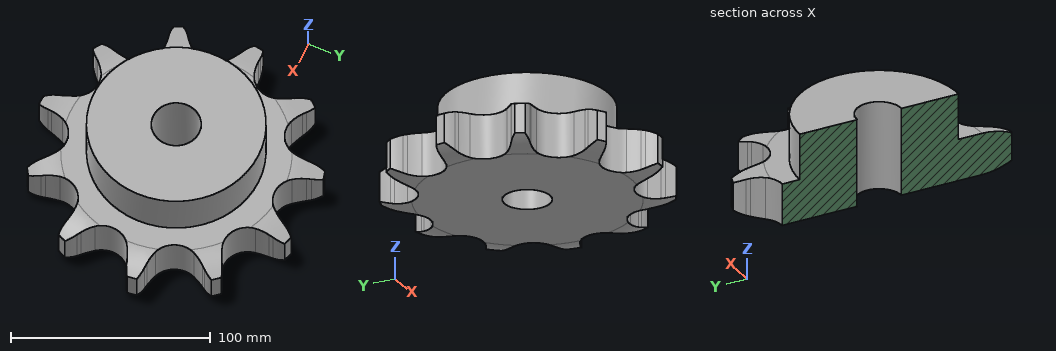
import math

import cadquery as cq

TOOTH_COUNT = 11
CHAIN_PITCH = 38.1
ROLLER_DIAMETER = 25.4
SEAT_CLEARANCE = 0.0762
TIP_RADIUS = 75.0
RIM_WIDTH = 24.0
RELIEF_START_RADIUS = 58.0
RELIEF_ARC_RADIUS = 38.1

HUB_DIAMETER = 90.0
BORE_DIAMETER = 25.0
TOTAL_HEIGHT = 50.0

HALF_TOOTH_ANGLE = 180.0 / TOOTH_COUNT
PITCH_RADIUS = CHAIN_PITCH / (2 * math.sin(math.radians(HALF_TOOTH_ANGLE)))
SEAT_RADIUS = (1.005 * ROLLER_DIAMETER + SEAT_CLEARANCE) / 2
SEAT_END_ANGLE = 35.0 + 60.0 / TOOTH_COUNT
WORKING_ARC_ANGLE = 18.0 - 56.0 / TOOTH_COUNT
WORKING_CENTER_OFFSET = 0.8 * ROLLER_DIAMETER
WORKING_RADIUS = SEAT_RADIUS + WORKING_CENTER_OFFSET
TOPPING_CENTER_OFFSET = 1.4 * ROLLER_DIAMETER

GAP_OUTER_RADIUS = TIP_RADIUS + SEAT_RADIUS


def polar(center, radius, degrees):
    """Point at a radius and angle from a center."""
    angle = math.radians(degrees)
    return (center[0] + radius * math.cos(angle), center[1] + radius * math.sin(angle))


def topping_arc(seat_center, flank_end):
    """Center and radius of the convex tip arc, tangent to the straight flank that starts at flank_end.

    The flank leaves its working arc along the direction square to that arc's end radius.
    """
    center = polar(seat_center, TOPPING_CENTER_OFFSET, -HALF_TOOTH_ANGLE)
    normal_angle = math.radians(WORKING_ARC_ANGLE - SEAT_END_ANGLE)
    offset = (center[0] - flank_end[0], center[1] - flank_end[1])
    radius = offset[0] * math.cos(normal_angle) + offset[1] * math.sin(normal_angle)
    return center, radius


def right_flank():
    """Key points of the flank to the right of a seat lying on the +Y axis, from seat to tip."""
    seat_center = (0.0, PITCH_RADIUS)
    working_center = polar(seat_center, WORKING_CENTER_OFFSET, 180.0 - SEAT_END_ANGLE)
    seat_end = polar(seat_center, SEAT_RADIUS, -SEAT_END_ANGLE)
    working_mid = polar(working_center, WORKING_RADIUS, WORKING_ARC_ANGLE / 2 - SEAT_END_ANGLE)
    working_end_angle = WORKING_ARC_ANGLE - SEAT_END_ANGLE
    working_end = polar(working_center, WORKING_RADIUS, working_end_angle)

    topping_center, topping_radius = topping_arc(seat_center, working_end)
    topping_start_angle = 180.0 + working_end_angle
    topping_start = polar(topping_center, topping_radius, topping_start_angle)

    center_distance = math.hypot(*topping_center)
    to_origin = math.degrees(math.atan2(-topping_center[1], -topping_center[0]))
    cosine = (topping_radius**2 + center_distance**2 - TIP_RADIUS**2) / (
        2 * topping_radius * center_distance
    )
    tip_angle = (to_origin - math.degrees(math.acos(cosine))) % 360.0
    topping_mid = polar(topping_center, topping_radius, (topping_start_angle + tip_angle) / 2)
    tip = polar(topping_center, topping_radius, tip_angle)
    return seat_end, working_mid, working_end, topping_start, topping_mid, tip


def mirrored(point):
    """Mirror image of a point across the Y axis."""
    return (-point[0], point[1])


def tooth_gap():
    """Cutter for one gap between teeth, centered on the +Y axis."""
    seat_end, working_mid, working_end, topping_start, topping_mid, tip = right_flank()
    seat_bottom = (0.0, PITCH_RADIUS - SEAT_RADIUS)
    outer_scale = GAP_OUTER_RADIUS / TIP_RADIUS
    outer_corner = (tip[0] * outer_scale, tip[1] * outer_scale)
    return (
        cq.Workplane("XY")
        .moveTo(*mirrored(seat_end))
        .threePointArc(seat_bottom, seat_end)
        .threePointArc(working_mid, working_end)
        .lineTo(*topping_start)
        .threePointArc(topping_mid, tip)
        .lineTo(*outer_corner)
        .lineTo(*mirrored(outer_corner))
        .lineTo(*mirrored(tip))
        .threePointArc(mirrored(topping_mid), mirrored(topping_start))
        .lineTo(*mirrored(working_end))
        .threePointArc(mirrored(working_mid), mirrored(seat_end))
        .close()
        .extrude(RIM_WIDTH)
    )


def relief_depth_at(radius):
    """How far the curved relief drops below the rim face at a radius."""
    run = radius - RELIEF_START_RADIUS
    return RELIEF_ARC_RADIUS - math.sqrt(RELIEF_ARC_RADIUS**2 - run**2)


def rim_blank():
    """Disc whose two faces curve inward toward the tip circle, leaving a narrower outer edge."""
    mid_radius = (RELIEF_START_RADIUS + TIP_RADIUS) / 2
    mid_depth = relief_depth_at(mid_radius)
    tip_depth = relief_depth_at(TIP_RADIUS)
    return (
        cq.Workplane("XZ")
        .moveTo(0, 0)
        .lineTo(RELIEF_START_RADIUS, 0)
        .threePointArc((mid_radius, mid_depth), (TIP_RADIUS, tip_depth))
        .lineTo(TIP_RADIUS, RIM_WIDTH - tip_depth)
        .threePointArc((mid_radius, RIM_WIDTH - mid_depth), (RELIEF_START_RADIUS, RIM_WIDTH))
        .lineTo(0, RIM_WIDTH)
        .close()
        .revolve(360, (0, 0, 0), (0, 1, 0))
    )


def toothed_rim():
    """Rim with a gap cut at every tooth spacing, the first one on the +Y axis."""
    rim = rim_blank()
    gap = tooth_gap()
    for index in range(TOOTH_COUNT):
        angle = index * 2 * HALF_TOOTH_ANGLE
        rim = rim.cut(gap.rotate((0, 0, 0), (0, 0, 1), angle))
    return rim


def hub():
    """Round hub standing on one side of the rim, running through to the other face."""
    return cq.Workplane("XY").circle(HUB_DIAMETER / 2).extrude(TOTAL_HEIGHT)


def bore():
    """Through hole along the axis."""
    return cq.Workplane("XY").circle(BORE_DIAMETER / 2).extrude(TOTAL_HEIGHT)


result = toothed_rim().union(hub()).cut(bore())